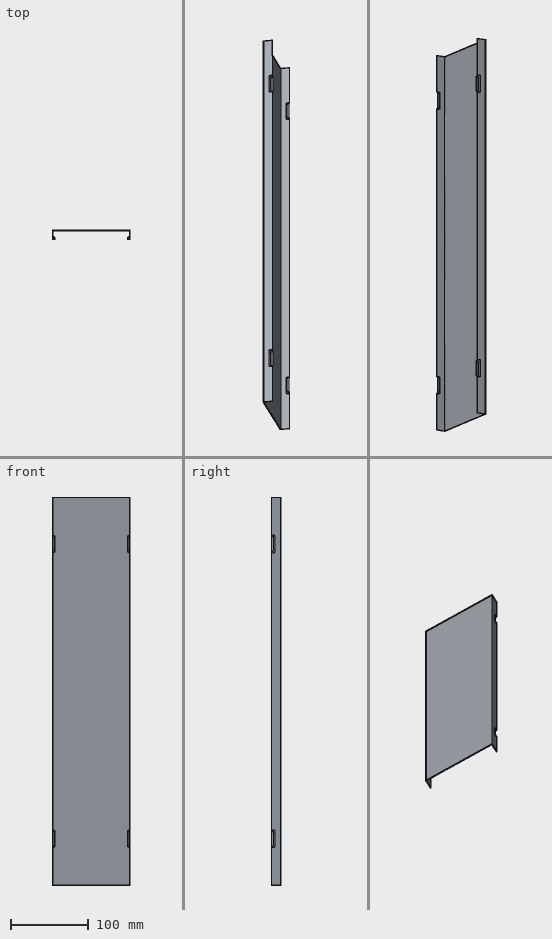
import cadquery as cq

width = 100.0
depth = 12.5
height = 500.0
sheet = 1.0

dimple_length = 23.0
dimple_reach = 4.5
dimple_depth = 2.5
dimple_corner = 2.5
dimple_taper = 35.0
dimple_end_distance = 60.0

dimple_z = height / 2 - dimple_end_distance
front_y = -depth / 2
inner_width = width - 2 * sheet


def make_channel():
    """U-shaped sheet, open toward -Y."""
    cavity = cq.Workplane("XY").box(inner_width, depth, height).translate((0, -sheet, 0))
    return cq.Workplane("XY").box(width, depth, height).cut(cavity)


def tapered_block(start_x, length, reach):
    """Dimple volume running from start_x toward +X, cut flush at the free edge."""
    block = (
        cq.Workplane("YZ", origin=(start_x, front_y, 0))
        .rect(2 * reach, length)
        .extrude(dimple_depth, taper=dimple_taper)
        .edges("not(|Y or |Z)")
        .fillet(dimple_corner)
    )
    behind_edge = cq.Workplane("XY").box(width, depth, height).translate((start_x, 0, 0))
    return block.intersect(behind_edge)


def mirrored_pair(body, z):
    """Place a left-flange body at height z, with its copy on the right flange."""
    left = body.translate((0, 0, z))
    return left.union(left.mirror("YZ"))


outer_x = -width / 2
recess = tapered_block(outer_x, dimple_length, dimple_reach)
bulge = tapered_block(outer_x + sheet, dimple_length, dimple_reach)

result = make_channel()
for z in (-dimple_z, dimple_z):
    result = result.union(mirrored_pair(bulge, z))
    result = result.cut(mirrored_pair(recess, z))